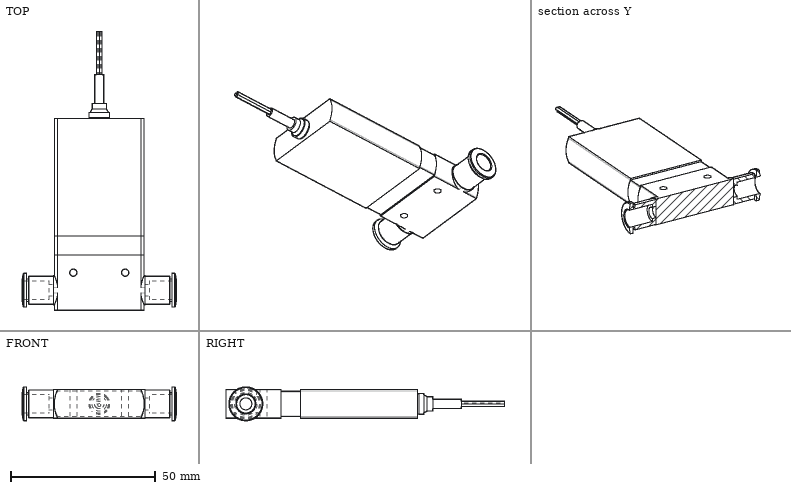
import cadquery as cq
import math


BODY_THICKNESS = 10.0
BODY_WIDTH = 31.1
FLAT_WIDTH = 28.8
BULGE_EDGE_WIDTH = 29.1
HOUSING_BEVEL_HEIGHT = 0.6
BLOCK_BEVEL_HEIGHT = 0.3
NECK_THICKNESS = 8.9

BLOCK_BACK_Y = 19.1
HOUSING_FRONT_Y = 25.8
HOUSING_BACK_Y = 66.5

MOUNTING_HOLE_DIAMETER = 2.4
MOUNTING_HOLE_SPACING = 18.0
MOUNTING_HOLE_Y = 13.0

PORT_Y = 7.0
BOSS_DIAMETER = 10.2
BOSS_END_X = 15.8

FITTING_END_X = 26.8
SLEEVE_END_X = 24.4
SLEEVE_DIAMETER = 9.8
SLEEVE_CHAMFER = 0.2
COLLAR_NECK_DIAMETER = 7.8
FLANGE_DIAMETER = 11.8
FLANGE_BACK_X = 25.1
FLANGE_CHAMFER = 0.3
FLANGE_CONE_DEPTH = 0.4
BORE_DIAMETER = 6.4
BORE_MOUTH_DIAMETER = 7.0
BORE_FLOOR_X = 17.4
INNER_BORE_DIAMETER = 4.2

GLAND_FOOT_DIAMETER = 7.0
GLAND_FOOT_END_Y = 66.8
GLAND_RING_DIAMETER = 7.2
GLAND_RING_END_Y = 68.6
GLAND_CONE_DIAMETER = 6.4
GLAND_CONE_END_Y = 69.7
GLAND_NOSE_DIAMETER = 5.0
GLAND_NOSE_END_Y = 71.7
JACKET_DIAMETER = 3.3
JACKET_END_Y = 81.6
WIRE_END_Y = 96.6
WIRE_DIAMETER = 1.1
WIRE_SPACING = 1.0


def bulged_bar(thickness, bevel_height, front_y, back_y):
    """Bar along Y with flat top and bottom, bevelled edges and bulging sides."""
    flat_x = FLAT_WIDTH / 2
    edge_x = BULGE_EDGE_WIDTH / 2
    bulge_x = BODY_WIDTH / 2
    top_z = thickness / 2
    edge_z = top_z - bevel_height
    return (
        cq.Workplane("XZ", origin=(0, front_y, 0))
        .moveTo(-flat_x, top_z)
        .lineTo(flat_x, top_z)
        .lineTo(edge_x, edge_z)
        .threePointArc((bulge_x, 0), (edge_x, -edge_z))
        .lineTo(flat_x, -top_z)
        .lineTo(-flat_x, -top_z)
        .lineTo(-edge_x, -edge_z)
        .threePointArc((-bulge_x, 0), (-edge_x, edge_z))
        .close()
        .extrude(front_y - back_y)
    )


def make_port_bosses():
    """Round bar through both ports, cut level with the block's top and bottom."""
    bar = (
        cq.Workplane("YZ", origin=(-BOSS_END_X, PORT_Y, 0))
        .circle(BOSS_DIAMETER / 2)
        .extrude(2 * BOSS_END_X)
    )
    level_cut = cq.Workplane("XY").box(4 * BOSS_END_X, 4 * BOSS_END_X, BODY_THICKNESS)
    return bar.intersect(level_cut)


def make_port_block():
    """Port block with its neck, port bosses and mounting holes."""
    block = bulged_bar(BODY_THICKNESS, BLOCK_BEVEL_HEIGHT, 0, BLOCK_BACK_Y)
    neck = bulged_bar(NECK_THICKNESS, BLOCK_BEVEL_HEIGHT, BLOCK_BACK_Y, HOUSING_FRONT_Y)
    mounting_holes = (
        cq.Workplane("XY", origin=(0, MOUNTING_HOLE_Y, -BODY_THICKNESS))
        .pushPoints([(-MOUNTING_HOLE_SPACING / 2, 0), (MOUNTING_HOLE_SPACING / 2, 0)])
        .circle(MOUNTING_HOLE_DIAMETER / 2)
        .extrude(2 * BODY_THICKNESS)
    )
    return block.union(neck).union(make_port_bosses()).cut(mounting_holes)


def make_cable_outlet():
    """Stepped gland and cable jacket, turned about the Y axis."""
    return (
        cq.Workplane("XY")
        .moveTo(0, HOUSING_BACK_Y)
        .lineTo(GLAND_FOOT_DIAMETER / 2, HOUSING_BACK_Y)
        .lineTo(GLAND_RING_DIAMETER / 2, GLAND_FOOT_END_Y)
        .lineTo(GLAND_RING_DIAMETER / 2, GLAND_RING_END_Y)
        .lineTo(GLAND_CONE_DIAMETER / 2, GLAND_RING_END_Y)
        .lineTo(GLAND_NOSE_DIAMETER / 2, GLAND_CONE_END_Y)
        .lineTo(GLAND_NOSE_DIAMETER / 2, GLAND_NOSE_END_Y)
        .lineTo(JACKET_DIAMETER / 2, GLAND_NOSE_END_Y)
        .lineTo(JACKET_DIAMETER / 2, JACKET_END_Y)
        .lineTo(0, JACKET_END_Y)
        .close()
        .revolve(360, (0, 0, 0), (0, 1, 0))
    )


def make_wires():
    """Three wires leaving the cable jacket, two above and one below in a triangle."""
    half_spacing = WIRE_SPACING / 2
    half_height = WIRE_SPACING * math.sin(math.radians(60)) / 2
    centres = [(-half_spacing, half_height), (half_spacing, half_height), (0, -half_height)]
    return [
        cq.Workplane("XZ", origin=(x, JACKET_END_Y, z))
        .circle(WIRE_DIAMETER / 2)
        .extrude(JACKET_END_Y - WIRE_END_Y)
        for x, z in centres
    ]


def make_housing():
    """Housing with its cable outlet and wires."""
    housing = bulged_bar(BODY_THICKNESS, HOUSING_BEVEL_HEIGHT, HOUSING_FRONT_Y, HOUSING_BACK_Y)
    housing = housing.union(make_cable_outlet())
    for wire in make_wires():
        housing = housing.union(wire)
    return housing


def make_fitting(side):
    """Push-in fitting on the port axis; side is +1 for the +X port and -1 for the -X port."""
    sleeve_radius = SLEEVE_DIAMETER / 2
    neck_radius = COLLAR_NECK_DIAMETER / 2
    flange_radius = FLANGE_DIAMETER / 2
    bore_radius = BORE_DIAMETER / 2
    mouth_radius = BORE_MOUTH_DIAMETER / 2
    inner_bore_radius = INNER_BORE_DIAMETER / 2
    mouth_depth = mouth_radius - bore_radius
    rim_x = FITTING_END_X - FLANGE_CONE_DEPTH
    profile = [
        (BOSS_END_X, inner_bore_radius),
        (BOSS_END_X, sleeve_radius),
        (SLEEVE_END_X - SLEEVE_CHAMFER, sleeve_radius),
        (SLEEVE_END_X, sleeve_radius - SLEEVE_CHAMFER),
        (SLEEVE_END_X, neck_radius),
        (FLANGE_BACK_X, neck_radius),
        (FLANGE_BACK_X, flange_radius),
        (rim_x - FLANGE_CHAMFER, flange_radius),
        (rim_x, flange_radius - FLANGE_CHAMFER),
        (FITTING_END_X, mouth_radius),
        (FITTING_END_X - mouth_depth, bore_radius),
        (BORE_FLOOR_X, bore_radius),
        (BORE_FLOOR_X, inner_bore_radius),
    ]
    return (
        cq.Workplane("XY", origin=(0, PORT_Y, 0))
        .polyline([(side * x, radius) for x, radius in profile])
        .close()
        .revolve(360, (0, 0, 0), (1, 0, 0))
    )


port_block = make_port_block()
housing = make_housing()
fittings = [make_fitting(side) for side in (-1, 1)]

result = cq.Compound.makeCompound(
    [port_block.val(), housing.val(), *[fitting.val() for fitting in fittings]]
)